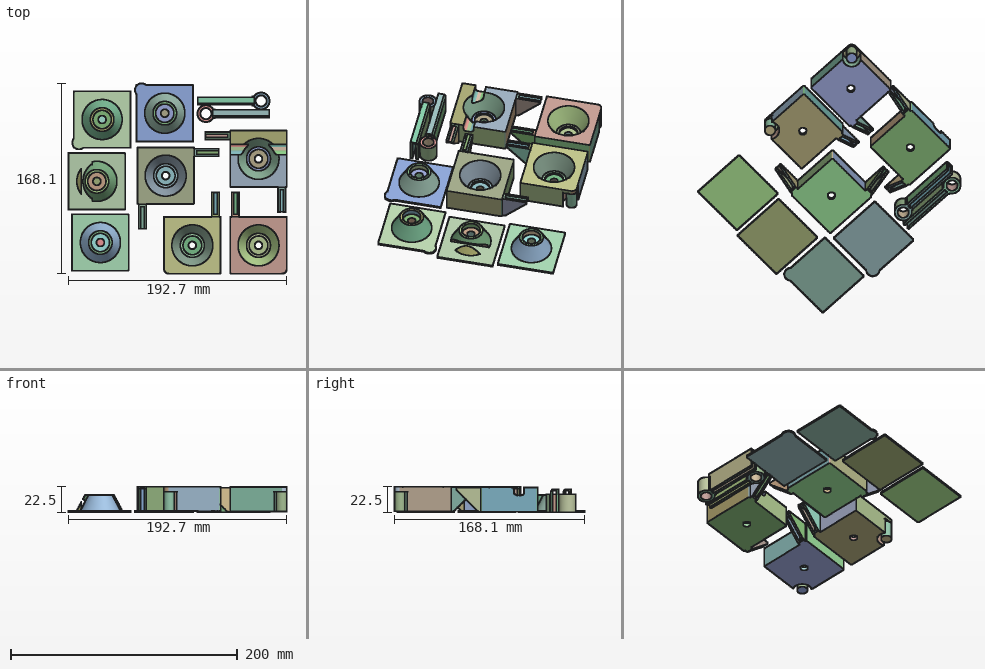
import cadquery as cq

side = 50.1
half_side = side / 2
block_height = 21.5
corner_inset = 4.6
hinge_position = half_side - corner_inset
small_corner_radius = 1.0

cavity_top_radius = 18.1
cavity_floor_radius = 10.6
cavity_depth = 15.8
cavity_recess_radius = 8.3
cavity_recess_depth = 2.0
block_hole_radius = 3.3

lug_length = 22.0
lug_step = 0.2
lug_width = 6.7
lug_tip_thickness = 2.0
lug_slot_width = 2.9
lug_roof_inset = 0.2
lug_top = block_height - lug_step
lug_drop = block_height - lug_tip_thickness
lug_root_length = lug_length - lug_drop

post_radius = corner_inset
post_corner_radius = 4.2
post_height = 17.3
post_clearance_radius = 8.0

channel_near = 3.7
channel_far = 13.0
channel_depth = 7.0
channel_near_radius = 3.7
channel_far_radius = 2.5

plate_thickness = 1.5
plate_ear_radius = 6.0
plug_base_radius = 17.7
plug_top_radius = 10.5
plug_top = 15.5
plug_bore_radius = 8.0
plug_bore_depth = 5.0
plug_hole_radius = 3.5

slot_near = 4.2
slot_far = 13.7
slot_near_height = 3.0
slot_slope = 0.88

ring_radius = 7.5
ring_bore_radius = 4.8
ring_height = 16.0
bar_start = 6.0
bar_end = 56.0
bar_width = 7.0
bar_height = 20.5
bar_chamfer_width = 1.5
bar_chamfer_height = 2.1
bar_slot_width = 2.9
bar_slot_height = 18.9
collar_width = 8.0
collar_length = 2.0

cornered_block_place = (-10.6, 2.5, 1.0)
channel_block_place = (71.3, 17.3, 0.4)
left_post_block_place = (13.0, -59.0, 1.0)
right_post_block_place = (71.3, -59.0, 0.8)
lower_ear_plate_place = (-66.7, 52.0)
upper_ear_plate_place = (-11.4, 57.6)
slotted_plate_place = (-71.3, -2.5)
plain_plate_place = (-68.2, -56.5)
right_ring_place = (73.6, 68.4)
left_ring_place = (24.9, 57.2)


def box_between(x0, x1, y0, y1, z0, z1):
    """Axis-aligned box between opposite corners."""
    return cq.Workplane("XY").box(x1 - x0, y1 - y0, z1 - z0, centered=False).translate((x0, y0, z0))


def cylinder(radius, z0, z1, x=0.0, y=0.0):
    """Vertical cylinder between two heights."""
    return cq.Workplane("XY").circle(radius).extrude(z1 - z0).translate((x, y, z0))


def cone(bottom_radius, top_radius, z0, z1):
    """Vertical truncated cone on the Z axis."""
    outline = [(0, z0), (bottom_radius, z0), (top_radius, z1), (0, z1)]
    return cq.Workplane("XZ").polyline(outline).close().revolve(360, (0, 0, 0), (0, 1, 0))


def square_slab(height, rounded_corners):
    """Square slab with the corners listed as (x sign, y sign, radius) rounded."""
    slab = box_between(-half_side, half_side, -half_side, half_side, 0, height)
    for x_sign, y_sign, radius in rounded_corners:
        corner = cq.selectors.NearestToPointSelector((x_sign * half_side, y_sign * half_side, height / 2))
        slab = slab.edges("|Z").edges(corner).fillet(radius)
    return slab


def lug(direction, lateral):
    """Wedge lug pointing at `direction` degrees, shifted sideways by `lateral` before turning."""
    outline = [
        (0, 0),
        (0, lug_top),
        (lug_length, lug_top),
        (lug_length, lug_drop),
        (lug_root_length, 0),
    ]
    wedge = cq.Workplane("XZ").polyline(outline).close().extrude(lug_width / 2, both=True)
    slot_half = lug_slot_width / 2
    roof_tip = lug_length - lug_roof_inset
    roof_top = lug_top - lug_roof_inset
    slot = box_between(lug_root_length, lug_length, -slot_half, slot_half, 0, lug_top)
    roof = box_between(lug_root_length, roof_tip, -slot_half, slot_half, lug_drop, roof_top)
    wedge = wedge.cut(slot).union(roof)
    return wedge.translate((half_side, lateral, 0)).rotate((0, 0, 0), (0, 0, 1), direction)


def hinge_post(body, x_sign):
    """Free a round post at the -Y corner on the `x_sign` side by cutting a ring-shaped gap round it."""
    x = x_sign * hinge_position
    y = -hinge_position
    gap = cylinder(post_clearance_radius, 0, post_height, x, y)
    corner = box_between(-corner_inset, corner_inset, -corner_inset, corner_inset, 0, post_height)
    gap = gap.union(corner.translate((x, y, 0)))
    post = cylinder(post_radius, 0, post_height, x, y)
    return body.cut(gap).union(post)


def block(rounded_corners, lugs):
    """Square block with a conical cavity, a centre hole and lugs."""
    body = square_slab(block_height, rounded_corners)
    for direction, lateral in lugs:
        body = body.union(lug(direction, lateral))
    floor = block_height - cavity_depth
    body = body.cut(cone(cavity_floor_radius, cavity_top_radius, floor, block_height))
    body = body.cut(cylinder(cavity_recess_radius, floor - cavity_recess_depth, floor))
    return body.cut(cylinder(block_hole_radius, 0, floor))


def rounded_channel():
    """Channel along X with rounded floor edges, open at the block top."""
    floor = block_height - channel_depth
    profile = (
        cq.Workplane("YZ")
        .moveTo(channel_near, block_height)
        .lineTo(channel_near, floor + channel_near_radius)
        .radiusArc((channel_near + channel_near_radius, floor), -channel_near_radius)
        .lineTo(channel_far - channel_far_radius, floor)
        .radiusArc((channel_far, floor + channel_far_radius), -channel_far_radius)
        .lineTo(channel_far, block_height)
        .close()
    )
    return profile.extrude(half_side, both=True)


def plug_plate(rounded_corners):
    """Thin plate with a cone that is counterbored from the top."""
    bore_floor = plug_top - plug_bore_depth
    body = square_slab(plate_thickness, rounded_corners)
    body = body.union(cone(plug_base_radius, plug_top_radius, plate_thickness, plug_top))
    body = body.cut(cylinder(plug_bore_radius, bore_floor, plug_top))
    return body.cut(cylinder(plug_hole_radius, plate_thickness, bore_floor))


def plate_ear(y_sign):
    """Round ear at the -X corner of a plate on the `y_sign` side."""
    return cylinder(plate_ear_radius, 0, plate_thickness, -hinge_position, y_sign * hinge_position)


def slanted_slot():
    """Slot along Y through the -X side of a cone, with a roof that rises outward."""
    slot_far_height = slot_near_height + slot_slope * (slot_far - slot_near)
    outline = [
        (-slot_near, plate_thickness),
        (-slot_near, plate_thickness + slot_near_height),
        (-slot_far, plate_thickness + slot_far_height),
        (-slot_far, plate_thickness),
    ]
    return cq.Workplane("XZ").polyline(outline).close().extrude(half_side, both=True)


def handle(x_direction):
    """Handle with its ring on the Z axis and its bar toward -X or +X; the chamfer faces -Y."""
    half_width = bar_width / 2
    outline = [
        (-half_width, 0),
        (half_width, 0),
        (half_width, bar_height),
        (bar_chamfer_width - half_width, bar_height),
        (-half_width, bar_height - bar_chamfer_height),
    ]
    bar = cq.Workplane("YZ").polyline(outline).close().extrude(bar_end - bar_start)
    bar = bar.translate((bar_start, 0, 0))
    collar_end = bar_start + collar_length
    collar = box_between(0, collar_end, -collar_width / 2, collar_width / 2, 0, ring_height)
    slot_half = bar_slot_width / 2
    slot = box_between(bar_start, bar_end, -slot_half, slot_half, 0, bar_slot_height)
    body = bar.union(collar).cut(slot).union(cylinder(ring_radius, 0, ring_height))
    body = body.cut(cylinder(ring_bore_radius, 0, ring_height))
    if x_direction < 0:
        body = body.mirror("YZ")
    return body


all_small = [(x, y, small_corner_radius) for x in (-1, 1) for y in (-1, 1)]

cornered_block = block(all_small, [(0, hinge_position), (-90, -hinge_position)])
cornered_block = cornered_block.translate(cornered_block_place)

channel_block = block(all_small, [(180, -hinge_position), (-90, hinge_position)])
channel_block = channel_block.cut(rounded_channel()).translate(channel_block_place)


def post_block(x_sign):
    """Block with a hinge post at one -Y corner and a lug at the opposite end of the +Y side."""
    corners = [(x_sign, -1, post_corner_radius), (-x_sign, -1, small_corner_radius)]
    return hinge_post(block(corners, [(90, x_sign * hinge_position)]), x_sign)


left_post_block = post_block(-1).translate(left_post_block_place)
right_post_block = post_block(1).translate(right_post_block_place)

lower_ear_plate = plug_plate([(-1, 1, small_corner_radius)]).union(plate_ear(-1))
lower_ear_plate = lower_ear_plate.translate(lower_ear_plate_place)

upper_ear_plate = plug_plate([(1, 1, small_corner_radius)]).union(plate_ear(1))
upper_ear_plate = upper_ear_plate.translate(upper_ear_plate_place)

right_corners = [(1, -1, small_corner_radius), (1, 1, small_corner_radius)]
slotted_plate = plug_plate(right_corners).cut(slanted_slot()).translate(slotted_plate_place)
plain_plate = plug_plate(right_corners).translate(plain_plate_place)

right_ring_handle = handle(-1).translate(right_ring_place)
left_ring_handle = handle(1).translate(left_ring_place)

bodies = [
    cornered_block,
    channel_block,
    left_post_block,
    right_post_block,
    lower_ear_plate,
    upper_ear_plate,
    slotted_plate,
    plain_plate,
    right_ring_handle,
    left_ring_handle,
]
result = cq.Compound.makeCompound([body.val() for body in bodies])